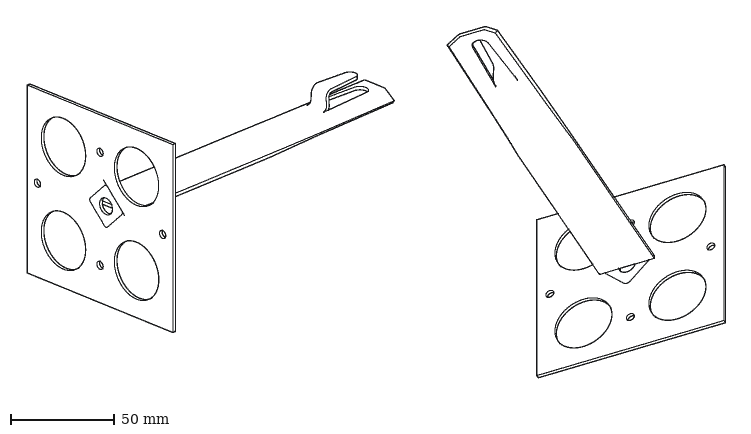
import cadquery as cq
import math

SHEET = 1.9
LENGTH = 189.0

PLATE_WIDTH = 99.5
PLATE_HEIGHT = 100.0
LARGE_HOLE_RADIUS = 15.1
LARGE_HOLE_OFFSET = 25.0
SMALL_HOLE_RADIUS = 2.0
SMALL_HOLE_X = 42.7
SMALL_HOLE_Z = 30.0

BOSS_HEIGHT = 6.0
BOSS_FLOOR_APOTHEM = 8.3
BOSS_WALL_ANGLE = math.radians(41)
BOSS_FLOOR_CORNER = 1.5
BOSS_LIP_CORNER = 1.0
BOSS_OUTER_CORNER = 2.5
BOSS_LIP_RADIUS = 6.5
BOSS_HOLE_RADIUS = 4.3

ARM_HALF_WIDTH = 14.5
ARM_TOP = SHEET / 2
CHANNEL_RISE = 4.7
CHANNEL_CORNER = 7.0
CHANNEL_EDGE_START = 14.4
CHANNEL_EDGE_END = 13.5
CHANNEL_BEND = 1.0
CHANNEL_START = 139.0
RAMP_TOP = 135.5
RAMP_FOOT = 111.5
FLAT_END = 102.5
FOOT_CORNER = 11.2
FOOT_BEND = 0.4
FLAT_CORNER = 12.3
FLAT_BEND = 0.2

TONGUE_TOP = 15.9
TONGUE_BASE = 148.2
TONGUE_TIP = 175.5
TONGUE_INNER_BEND = 2.3
TONGUE_BASE_HALF = 5.7
TONGUE_BEND_HALF = 5.0
TONGUE_TIP_RADIUS = 3.5
SLOT_BASE_HALF = 5.9
SLOT_END_RADIUS = 4.2
SLOT_END = 183.0


def facing_back(y):
    """Workplane at the given Y whose normal points to +Y."""
    return cq.Workplane(cq.Plane(origin=(0, y, 0), xDir=(1, 0, 0), normal=(0, 1, 0)))


def facing_front(y):
    """Workplane at the given Y whose normal points to -Y, with Z up."""
    return cq.Workplane("XZ", origin=(0, y, 0))


def rounded_square(y, apothem, corner):
    """Wire at Y: square turned 45 degrees, with rounded corners."""
    straight = apothem - corner
    return (
        facing_back(y)
        .transformed(rotate=(0, 0, 45))
        .moveTo(-straight, -apothem)
        .lineTo(straight, -apothem)
        .radiusArc((apothem, -straight), -corner)
        .lineTo(apothem, straight)
        .radiusArc((straight, apothem), -corner)
        .lineTo(-straight, apothem)
        .radiusArc((-apothem, straight), -corner)
        .lineTo(-apothem, -straight)
        .radiusArc((-straight, -apothem), -corner)
        .close()
        .val()
    )


def frustum(base, top):
    return cq.Workplane(cq.Solid.makeLoft([base, top], True))


def round_boss_edge(plate, y, radius):
    """Round the closed edge where the boss meets the plate face at Y."""
    near = 0.02
    reach = LARGE_HOLE_OFFSET
    edge_zone = cq.selectors.BoxSelector((-reach, y - near, -reach), (reach, y + near, reach))
    return plate.edges(edge_zone).fillet(radius)


def add_boss(plate):
    depth = BOSS_HEIGHT - SHEET
    wall_run = depth / math.tan(BOSS_WALL_ANGLE)

    outer_apothem = BOSS_FLOOR_APOTHEM + SHEET * math.tan(BOSS_WALL_ANGLE / 2)
    outside = frustum(
        rounded_square(SHEET, outer_apothem + wall_run, BOSS_OUTER_CORNER),
        rounded_square(BOSS_HEIGHT, outer_apothem, BOSS_OUTER_CORNER),
    )
    plate = round_boss_edge(plate.union(outside), SHEET, BOSS_LIP_RADIUS - SHEET)

    inside = frustum(
        rounded_square(0, BOSS_FLOOR_APOTHEM + wall_run, BOSS_LIP_CORNER),
        rounded_square(depth, BOSS_FLOOR_APOTHEM, BOSS_FLOOR_CORNER),
    )
    return round_boss_edge(plate.cut(inside), 0, BOSS_LIP_RADIUS)


def cut_holes(plate, centres, radius):
    return plate.cut(facing_back(0).pushPoints(centres).circle(radius).extrude(BOSS_HEIGHT))


def make_plate():
    plate = facing_back(0).rect(PLATE_WIDTH, PLATE_HEIGHT).extrude(SHEET)
    plate = add_boss(plate)

    signs = (-1, 1)
    large = [(i * LARGE_HOLE_OFFSET, j * LARGE_HOLE_OFFSET) for i in signs for j in signs]
    small = [(i * SMALL_HOLE_X, 0) for i in signs] + [(0, j * SMALL_HOLE_Z) for j in signs]
    plate = cut_holes(plate, large, LARGE_HOLE_RADIUS)
    plate = cut_holes(plate, small, SMALL_HOLE_RADIUS)
    return cut_holes(plate, [(0, 0)], BOSS_HOLE_RADIUS)


def bend_points(corner_x, corner_z, tangent, slope):
    """Start, middle and end of the bend from a wall at this slope onto a level top."""
    sag = tangent * math.tan(slope / 4)
    return [
        (corner_x + tangent * math.cos(slope), corner_z - tangent * math.sin(slope)),
        (corner_x - sag * math.sin(slope / 2), corner_z - sag * math.cos(slope / 2)),
        (corner_x - tangent, corner_z),
    ]


def mirror_path(points):
    return [(-x, z) for x, z in reversed(points)]


def add_bend(outline, points):
    """Draw to and along a bend, which is a straight line where the sheet is flat."""
    start, middle, end = points
    outline = outline.lineTo(*start)
    if start[1] == end[1]:
        return outline.lineTo(*end)
    return outline.threePointArc(middle, end)


def channel_section(y, edge, corner, rise, bend):
    """Closed sheet outline at Y: level top, two bends and two walls sloping down to Z = ARM_TOP."""
    slope = math.atan2(rise, edge - corner)
    inset = SHEET * math.tan(slope / 2)
    top = ARM_TOP + rise
    upper = bend_points(corner, top, bend, slope)
    lower = mirror_path(bend_points(corner - inset, top - SHEET, bend - inset, slope))
    lower_edge = edge - SHEET * math.sin(slope)
    lower_edge_z = ARM_TOP - SHEET * math.cos(slope)

    outline = facing_front(y).moveTo(edge, ARM_TOP)
    outline = add_bend(outline, upper)
    outline = add_bend(outline, mirror_path(upper))
    outline = outline.lineTo(-edge, ARM_TOP).lineTo(-lower_edge, lower_edge_z)
    outline = add_bend(outline, lower[::-1])
    outline = add_bend(outline, mirror_path(lower)[::-1])
    return outline.lineTo(lower_edge, lower_edge_z).close().val()


def make_strip():
    ramp_slope = CHANNEL_RISE / ((CHANNEL_START + RAMP_TOP - RAMP_FOOT - FLAT_END) / 2)
    top_drop = ramp_slope * (CHANNEL_START - RAMP_TOP) / 2
    foot_rise = ramp_slope * (RAMP_FOOT - FLAT_END) / 2

    flat = channel_section(FLAT_END, ARM_HALF_WIDTH, FLAT_CORNER, 0, FLAT_BEND)
    toe = channel_section(
        (RAMP_FOOT + FLAT_END) / 2,
        ARM_HALF_WIDTH,
        (FOOT_CORNER + FLAT_CORNER) / 2,
        foot_rise / 4,
        (FOOT_BEND + FLAT_BEND) / 2,
    )
    foot = channel_section(RAMP_FOOT, ARM_HALF_WIDTH, FOOT_CORNER, foot_rise, FOOT_BEND)

    def upper_section(y, edge, drop):
        return channel_section(y, edge, CHANNEL_CORNER, CHANNEL_RISE - drop, CHANNEL_BEND)

    ramp_top = upper_section(RAMP_TOP, CHANNEL_EDGE_START, top_drop)
    crest = upper_section((CHANNEL_START + RAMP_TOP) / 2, CHANNEL_EDGE_START, top_drop / 4)
    start = upper_section(CHANNEL_START, CHANNEL_EDGE_START, 0)
    end = upper_section(LENGTH, CHANNEL_EDGE_END, 0)

    strip = (
        facing_back(BOSS_HEIGHT)
        .rect(2 * ARM_HALF_WIDTH, SHEET)
        .extrude(FLAT_END - BOSS_HEIGHT)
    )
    bends = ([flat, toe, foot], [ramp_top, crest, start])
    straights = ([foot, ramp_top], [start, end])
    for sections in bends:
        strip = strip.union(cq.Workplane(cq.Solid.makeLoft(sections, False)))
    for sections in straights:
        strip = strip.union(cq.Workplane(cq.Solid.makeLoft(sections, True)))
    return strip


def taper_outline(z, y_base, half_base, y_tip, tip_radius):
    """Plan outline at Z that narrows from a straight base to a round tip."""
    y_round = y_tip - tip_radius
    return (
        cq.Workplane("XY", origin=(0, 0, z))
        .moveTo(-half_base, y_base)
        .lineTo(half_base, y_base)
        .lineTo(tip_radius, y_round)
        .threePointArc((0, y_tip), (-tip_radius, y_round))
        .close()
    )


def make_tongue():
    inner = TONGUE_INNER_BEND
    outer = inner + SHEET
    base_top = ARM_TOP + CHANNEL_RISE
    base_bottom = base_top - SHEET
    leg_front = TONGUE_BASE + inner
    leg_back = leg_front + SHEET
    flat_start = leg_front + outer
    flat_bottom = TONGUE_TOP - SHEET

    def on_arc(centre_y, centre_z, radius, side):
        """Middle of a bend, on the +Y -Z side for 1 and on the -Y +Z side for -1."""
        step = side * radius * math.sqrt(0.5)
        return (centre_y + step, centre_z - step)

    low = (TONGUE_BASE, base_top + inner)
    high = (flat_start, TONGUE_TOP - outer)
    fold = (
        cq.Workplane("YZ")
        .moveTo(TONGUE_BASE, base_top)
        .threePointArc(on_arc(*low, inner, 1), (leg_front, low[1]))
        .lineTo(leg_front, high[1])
        .threePointArc(on_arc(*high, outer, -1), (flat_start, TONGUE_TOP))
        .lineTo(flat_start, flat_bottom)
        .threePointArc(on_arc(*high, inner, -1), (leg_back, high[1]))
        .lineTo(leg_back, low[1])
        .threePointArc(on_arc(*low, outer, 1), (TONGUE_BASE, base_bottom))
        .close()
        .extrude(TONGUE_BASE_HALF, both=True)
    )
    leg_taper = (
        facing_front(TONGUE_BASE)
        .polyline([
            (-TONGUE_BASE_HALF, base_bottom), (TONGUE_BASE_HALF, base_bottom),
            (TONGUE_BEND_HALF, flat_bottom), (TONGUE_BEND_HALF, TONGUE_TOP),
            (-TONGUE_BEND_HALF, TONGUE_TOP), (-TONGUE_BEND_HALF, flat_bottom),
        ])
        .close()
        .extrude(TONGUE_BASE - flat_start)
    )
    flat = taper_outline(flat_bottom, flat_start, TONGUE_BEND_HALF, TONGUE_TIP, TONGUE_TIP_RADIUS)
    return fold.intersect(leg_taper).union(flat.extrude(SHEET))


def make_arm():
    slot = taper_outline(0, TONGUE_BASE, SLOT_BASE_HALF, SLOT_END, SLOT_END_RADIUS)
    return make_strip().cut(slot.extrude(TONGUE_TOP)).union(make_tongue())


plate = make_plate()
arm = make_arm()
result = cq.Compound.makeCompound([plate.solids().val(), arm.solids().val()])